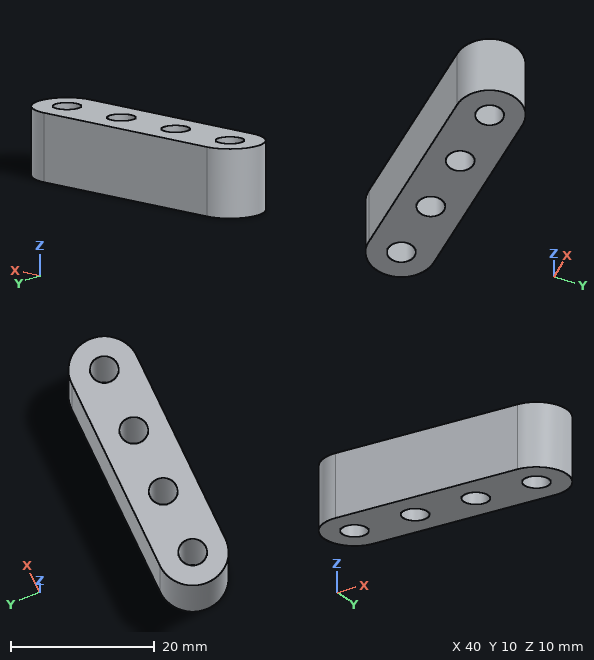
import cadquery as cq

length = 40.0
width = 10.0
height = 10.0
hole_diameter = 4.0
hole_count = 4

hole_pitch = (length - width) / (hole_count - 1)

bar = cq.Workplane("XY").slot2D(length, width).extrude(height)

result = (
    bar.faces(">Z")
    .workplane()
    .rarray(hole_pitch, width, hole_count, 1)
    .hole(hole_diameter)
)